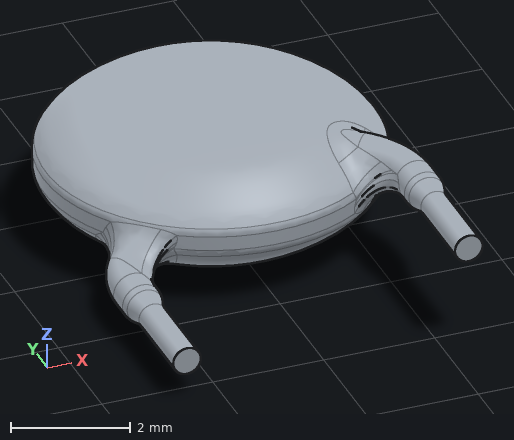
import cadquery as cq
import math

disc_radius = 3.0
disc_half_height = 1.18
rim_half_height = 0.13
rim_edge = (2.965, 0.265)
dome_flank = (2.6, 0.65)
dome_shoulder = (2.12, 0.94)
dome_crown = (1.2, 1.15)

overall_length = 8.39
lead_x = 5.08 / 2
lead_z = 0.55
wire_radius = 0.5 / 2
lead_tip_y = disc_radius - overall_length

coat_radius = 0.7 / 2
coat_bend_y = -2.91
coat_shoulder_y = -3.32
coat_inflection_y = -3.46
coat_end_y = -3.82
bend_radius = 1.5
bend_angle = math.radians(48)
root_length = 1.2
root_fillet = 0.6


def make_disc():
    rim_inset = disc_radius - rim_edge[0]
    rim_angle = 2 * math.atan2(rim_inset, rim_edge[1] - rim_half_height)
    rim_tangent = (-math.sin(rim_angle), math.cos(rim_angle))
    dome_points = [dome_flank, dome_shoulder, dome_crown, (0, disc_half_height)]

    upper_half = (
        cq.Workplane("XZ")
        .lineTo(disc_radius, 0)
        .lineTo(disc_radius, rim_half_height)
        .tangentArcPoint(rim_edge, relative=False)
        .spline(dome_points, tangents=[rim_tangent, (-1, 0)], includeCurrent=True)
        .close()
        .revolve(360, (0, 0, 0), (0, 1, 0))
    )
    return upper_half.union(upper_half.mirror("XY")).clean()


def make_coated_bend():
    """Coating along the straight lead, round the bend and on into the disc."""

    def on_bend(angle):
        return (
            lead_x - bend_radius * (1 - math.cos(angle)),
            coat_bend_y + bend_radius * math.sin(angle),
        )

    bend_end = on_bend(bend_angle)
    root_end = (
        bend_end[0] - root_length * math.sin(bend_angle),
        bend_end[1] + root_length * math.cos(bend_angle),
    )
    centre_line = (
        cq.Workplane("XY", origin=(0, 0, lead_z))
        .moveTo(lead_x, coat_shoulder_y)
        .lineTo(lead_x, coat_bend_y)
        .threePointArc(on_bend(bend_angle / 2), bend_end)
        .lineTo(*root_end)
    )
    return (
        cq.Workplane("XZ", origin=(lead_x, coat_shoulder_y, lead_z))
        .circle(coat_radius)
        .sweep(centre_line)
    )


def make_lead_end():
    """Tapered end of the coating with the bare wire that leaves it."""
    taper_share = (coat_shoulder_y - coat_inflection_y) / (coat_shoulder_y - coat_end_y)
    inflection_radius = coat_radius - taper_share * (coat_radius - wire_radius)

    return (
        cq.Workplane("XY", origin=(lead_x, 0, lead_z))
        .moveTo(0, lead_tip_y)
        .lineTo(0, coat_bend_y)
        .lineTo(coat_radius, coat_bend_y)
        .lineTo(coat_radius, coat_shoulder_y)
        .tangentArcPoint((inflection_radius, coat_inflection_y), relative=False)
        .tangentArcPoint((wire_radius, coat_end_y), relative=False)
        .lineTo(wire_radius, lead_tip_y)
        .close()
        .revolve(360, (0, 0, 0), (0, 1, 0))
    )


def opposite(upper_lead_part):
    """Same shape for the lower lead, half a turn about the Y axis away."""
    return upper_lead_part.rotate((0, 0, 0), (0, 1, 0), 180)


def fillet_roots(body):
    """Blend both coated bends into the disc along their line of intersection."""
    root_zone = cq.selectors.BoxSelector(
        (-lead_x, coat_bend_y + coat_radius / 2, -disc_half_height),
        (lead_x, -coat_radius, disc_half_height),
    )
    return body.edges("%BSPLINE").edges(root_zone).fillet(root_fillet)


coated_bend = make_coated_bend()
lead_end = make_lead_end()

body = make_disc().union(coated_bend).union(opposite(coated_bend))
body = fillet_roots(body)
result = body.union(lead_end).union(opposite(lead_end))